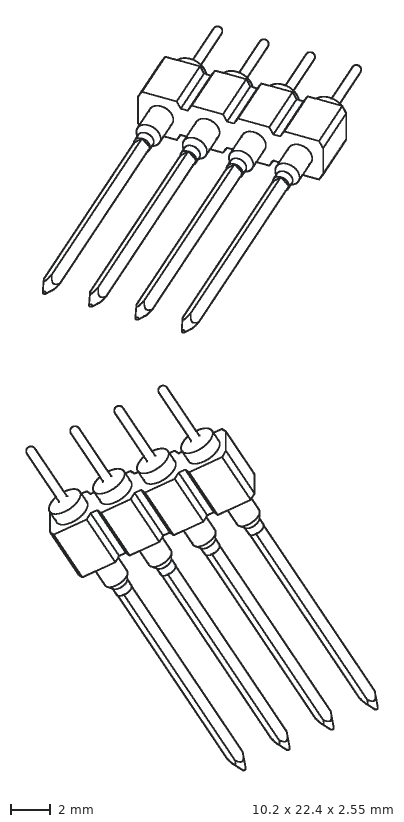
import cadquery as cq

pin_count = 4
overall_length = 22.35
strip_width = 10.15
pitch = strip_width / pin_count

housing_height = 2.55
housing_length = 2.97
slope_width = 0.22
slope_depth = 0.4
notch_floor_width = 0.38

lead_radius = 0.25
lead_length = 3.73
lead_rounding = 0.22
collar_radius = 0.92
collar_length = 0.74
barrel_radius = 0.67
barrel_length = 1.6
taper_length = 0.35
neck_radius = 0.45
neck_length = 0.47

tail_diagonal = 2 * neck_radius
point_length = 0.96
point_tip_radius = 0.1

lead_end = overall_length / 2
collar_start = lead_end - lead_length
housing_back = collar_start - collar_length
housing_front = housing_back - housing_length
taper_start = housing_front - barrel_length
taper_end = taper_start - taper_length
tail_start = taper_end - neck_length
tail_end = -overall_length / 2
point_start = tail_end + point_length


def make_housing():
    """Extruded strip with sloped ends and a sloped notch between neighbouring pins."""
    half_width = strip_width / 2
    half_height = housing_height / 2
    shoulder = half_height - slope_depth
    half_floor = notch_floor_width / 2
    half_mouth = half_floor + slope_width

    upper_edge = [(-half_width, shoulder), (-half_width + slope_width, half_height)]
    for index in range(1, pin_count):
        notch_x = -half_width + index * pitch
        upper_edge += [
            (notch_x - half_mouth, half_height),
            (notch_x - half_floor, shoulder),
            (notch_x + half_floor, shoulder),
            (notch_x + half_mouth, half_height),
        ]
    upper_edge += [(half_width - slope_width, half_height), (half_width, shoulder)]
    lower_edge = [(x, -z) for x, z in reversed(upper_edge)]

    return (
        cq.Workplane("XZ", origin=(0, housing_back, 0))
        .polyline(upper_edge + lower_edge)
        .close()
        .extrude(housing_length)
    )


def make_round_section():
    """Turned lead, collar, barrel, taper and neck on the Y axis."""
    return (
        cq.Workplane("XY")
        .moveTo(0, lead_end)
        .lineTo(lead_radius - lead_rounding, lead_end)
        .radiusArc((lead_radius, lead_end - lead_rounding), lead_rounding)
        .lineTo(lead_radius, collar_start + lead_rounding)
        .radiusArc((lead_radius + lead_rounding, collar_start), -lead_rounding)
        .lineTo(collar_radius, collar_start)
        .lineTo(collar_radius, housing_back)
        .lineTo(barrel_radius, housing_back)
        .lineTo(barrel_radius, taper_start)
        .lineTo(neck_radius, taper_end)
        .lineTo(neck_radius, tail_start)
        .lineTo(0, tail_start)
        .close()
        .revolve(360, (0, 0), (0, 1))
    )


def make_tail():
    """Square bar with its end turned to a blunt cone."""
    bar = (
        cq.Workplane("XZ", origin=(0, tail_start, 0))
        .polygon(4, tail_diagonal)
        .extrude(tail_start - tail_end)
    )
    pointed_envelope = (
        cq.Workplane("XY")
        .moveTo(0, tail_start)
        .lineTo(neck_radius, tail_start)
        .lineTo(neck_radius, point_start)
        .lineTo(point_tip_radius, tail_end)
        .lineTo(0, tail_end)
        .close()
        .revolve(360, (0, 0), (0, 1))
    )
    return bar.intersect(pointed_envelope)


pin = make_round_section().union(make_tail())

result = make_housing()
for index in range(pin_count):
    pin_x = (index - (pin_count - 1) / 2) * pitch
    result = result.union(pin.translate((pin_x, 0, 0)))